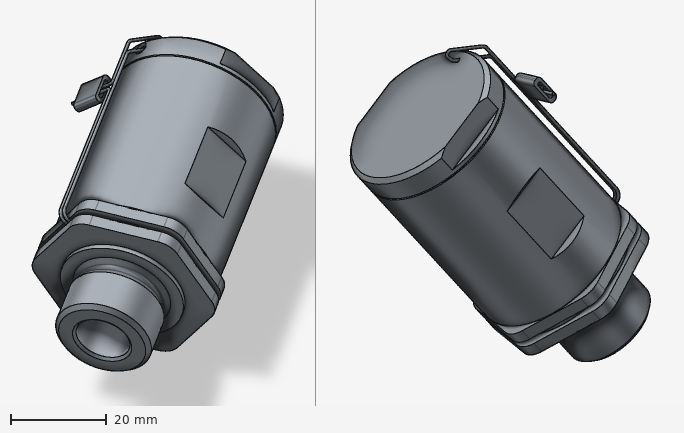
import cadquery as cq
import math


THREAD_LENGTH = 9.9
GROOVE_START_Y = 11.45
GROOVE_BOTTOM_Y = 12.0
GROOVE_END_Y = 12.8
COLLAR_Y = 13.8
LOWER_HEX_Y = 14.9
HEX_THICKNESS = 2.75
WIRE_NECK_LENGTH = 1.5
NECK_Y = LOWER_HEX_Y + HEX_THICKNESS
UPPER_HEX_Y = NECK_Y + WIRE_NECK_LENGTH
BODY_Y = UPPER_HEX_Y + HEX_THICKNESS
CAP_Y = 64.3
CAP_END_Y = 70.3

NOZZLE_RADIUS = 21.0 / 2
NOZZLE_CHAMFER = 1.0
GROOVE_START_RADIUS = 9.6
GROOVE_BOTTOM_RADIUS = 9.4
GROOVE_END_RADIUS = 9.65
FLARE_RADIUS = 10.7
COLLAR_RADIUS = 27.0 / 2
HEX_ACROSS_FLATS = 36.0
HEX_ACROSS_CORNERS = HEX_ACROSS_FLATS / math.cos(math.pi / 6)
HEX_CORNER_FILLET = 5.0
NECK_RADIUS = 33.0 / 2
BORE_DIAMETER = 11.8
BORE_CHAMFER = 0.6

BODY_RADIUS = 36.0 / 2
JOINT_CHAMFER = 0.185
FLATS_ANGLE = 45
BODY_FLATS_WIDTH = 34.0
BODY_FLAT_START_Y = 33.05
BODY_FLAT_END_Y = 49.0
CAP_CHAMFER = 1.0
CAP_FLATS_WIDTH = 31.9
CAP_FLAT_START_Y = 65.4
WIRE_HOLE_DIAMETER = 2.0
WIRE_HOLE_CHAMFER = 0.48
WIRE_HOLE_DEPTH = 3.0
WIRE_HOLE_Y = 67.7
WIRE_PASSAGE_DIAMETER = 0.8
WIRE_PASSAGE_START = 0.55

WIRE_RADIUS = 0.7 / 2
STRAND_RADIUS = 21.0
STRAND_OFFSET = 0.56
RING_CLEARANCE = 0.04
RING_RADIUS = NECK_RADIUS + WIRE_RADIUS + RING_CLEARANCE
RING_Y = NECK_Y + WIRE_RADIUS + RING_CLEARANCE
RING_JOIN_RADIUS = 1.5
RING_BEND_RADIUS = 2.0
CAP_BEND_RADIUS = 1.5
HOLE_STRAND_BEND_Y = 64.1
LOOP_STRAND_BEND_Y = 67.6
LOOP_TIP_RADIUS = 0.9
LOOP_TIP_Y = 75.8
LOOP_BACK_Y = 71.2
LOOP_BACK_OFFSET = 0.15
LOOP_BACK_RADIUS = 1.05

TAG_START = 3.0
TAG_LENGTH = 6.8
TAG_WIDTH = 7.0
TAG_THICKNESS = 2.3
TAG_Y = 54.95
TAG_EDGE_FILLET = 1.0
TAG_SLOT_WIDTH = 4.8
TAG_SLOT_HEIGHT = 1.0
TAG_STRAND_OFFSET = 0.75
TAG_BEND_RADIUS = 0.75
WIRE_TAIL_END = 12.1
WIRE_INNER_END = 9.35

SIN_45 = math.sqrt(0.5)
OUTWARD = cq.Vector(-SIN_45, 0, SIN_45)
SIDEWAYS = cq.Vector(-SIN_45, 0, -SIN_45)
AXIS = cq.Vector(0, 1, 0)


def beside(outward, sideways, y):
    """Point given by its distances along the wire side's outward, sideways and axial directions."""
    return OUTWARD * outward + SIDEWAYS * sideways + AXIS * y


def across_axis(y):
    """Workplane square to the valve axis at station y, with its normal along +Y."""
    return cq.Workplane(cq.Plane(origin=(0, y, 0), xDir=(1, 0, 0), normal=(0, 1, 0)))


def turned(profile):
    """Solid of revolution about the valve axis of a closed profile in X (radius) and Y."""
    return profile.revolve(360, (0, 0, 0), (0, 1, 0))


def hex_flange(y):
    flange = across_axis(y).polygon(6, HEX_ACROSS_CORNERS).extrude(HEX_THICKNESS)
    return flange.edges("|Y").fillet(HEX_CORNER_FILLET)


def chamfer_cone(hole_radius, chamfer, centre, inward):
    """Cutter that breaks the mouth of a hole at 45 degrees, from the mouth's centre inward."""
    return cq.Solid.makeCone(hole_radius + chamfer, hole_radius, chamfer, centre, inward)


def make_connector():
    profile = (
        cq.Workplane("XY")
        .lineTo(NOZZLE_RADIUS - NOZZLE_CHAMFER, 0)
        .lineTo(NOZZLE_RADIUS, NOZZLE_CHAMFER)
        .lineTo(NOZZLE_RADIUS, THREAD_LENGTH)
        .lineTo(GROOVE_START_RADIUS, GROOVE_START_Y)
        .threePointArc((GROOVE_BOTTOM_RADIUS, GROOVE_BOTTOM_Y), (GROOVE_END_RADIUS, GROOVE_END_Y))
        .lineTo(FLARE_RADIUS, COLLAR_Y)
        .lineTo(COLLAR_RADIUS, COLLAR_Y)
        .lineTo(COLLAR_RADIUS, LOWER_HEX_Y)
        .lineTo(NECK_RADIUS, LOWER_HEX_Y)
        .lineTo(NECK_RADIUS, BODY_Y)
        .lineTo(0, BODY_Y)
        .close()
    )
    stem = turned(profile)
    connector = stem.union(hex_flange(LOWER_HEX_Y)).union(hex_flange(UPPER_HEX_Y))
    bore = across_axis(0).circle(BORE_DIAMETER / 2).extrude(BODY_Y)
    bore_mouth = chamfer_cone(BORE_DIAMETER / 2, BORE_CHAMFER, cq.Vector(0, 0, 0), AXIS)
    return connector.cut(bore).cut(cq.Workplane(bore_mouth))


def flat_cutters(profile):
    """Two opposite cutters, each a (distance from axis, y) profile as wide as the body."""
    cutter = cq.Workplane("XY").polyline(profile).close().extrude(BODY_RADIUS, both=True)
    first = cutter.rotate((0, 0, 0), (0, 1, 0), -FLATS_ANGLE)
    return first.union(first.rotate((0, 0, 0), (0, 1, 0), 180))


def make_body():
    body = across_axis(BODY_Y).circle(BODY_RADIUS).extrude(CAP_Y - BODY_Y)
    body = body.faces("<Y or >Y").chamfer(JOINT_CHAMFER)
    flat = BODY_FLATS_WIDTH / 2
    end_slope = BODY_RADIUS - flat
    return body.cut(
        flat_cutters(
            [
                (flat, BODY_FLAT_START_Y),
                (BODY_RADIUS, BODY_FLAT_START_Y - end_slope),
                (BODY_RADIUS, BODY_FLAT_END_Y + end_slope),
                (flat, BODY_FLAT_END_Y),
            ]
        )
    )


def make_cap():
    cap = across_axis(CAP_Y).circle(BODY_RADIUS).extrude(CAP_END_Y - CAP_Y)
    cap = cap.faces(">Y").chamfer(CAP_CHAMFER).faces("<Y").chamfer(JOINT_CHAMFER)
    flat = CAP_FLATS_WIDTH / 2
    cap = cap.cut(
        flat_cutters(
            [
                (flat, CAP_FLAT_START_Y),
                (BODY_RADIUS, CAP_FLAT_START_Y),
                (BODY_RADIUS, CAP_END_Y),
                (flat, CAP_END_Y),
            ]
        )
    )
    return cap.cut(wire_hole()).cut(wire_passage())


def wire_hole():
    """Blind hole with a chamfered mouth, square to the side of the cap."""
    inward = OUTWARD * -1
    mouth = beside(BODY_RADIUS, 0, WIRE_HOLE_Y)
    hole = cq.Solid.makeCylinder(WIRE_HOLE_DIAMETER / 2, WIRE_HOLE_DEPTH, mouth, inward)
    chamfer = chamfer_cone(WIRE_HOLE_DIAMETER / 2, WIRE_HOLE_CHAMFER, mouth, inward)
    return cq.Workplane(hole.fuse(chamfer))


def wire_passage():
    """Slanted passage along the wire, from inside the wire hole to beyond the cap's end face."""
    bend, loop_back = hole_strand_corners()
    start = bend + (loop_back - bend) * WIRE_PASSAGE_START
    run = loop_back - start
    passage = cq.Solid.makeCylinder(WIRE_PASSAGE_DIAMETER / 2, run.Length, start, run)
    return cq.Workplane(passage)


def hole_strand_corners():
    """Corners of the wire where it turns toward the wire hole and where the loop turns back."""
    bend = beside(STRAND_RADIUS, -STRAND_OFFSET, HOLE_STRAND_BEND_Y)
    loop_back_outward = STRAND_RADIUS - (LOOP_BACK_Y - HOLE_STRAND_BEND_Y)
    loop_back = beside(loop_back_outward, -LOOP_BACK_OFFSET, LOOP_BACK_Y)
    return bend, loop_back


def rounded_path(points, radii):
    """Edges of a polyline whose inner corners are rounded with the given bend radii."""
    edges = []
    start = points[0]
    for before, corner, after, radius in zip(points, points[1:], points[2:], radii):
        back = (before - corner).normalized()
        ahead = (after - corner).normalized()
        half_angle = back.getAngle(ahead) / 2
        bisector = (back + ahead).normalized()
        tangent_length = radius / math.tan(half_angle)
        bend_start = corner + back * tangent_length
        bend_end = corner + ahead * tangent_length
        bend_middle = corner + bisector * (radius / math.sin(half_angle) - radius)
        edges.append(cq.Edge.makeLine(start, bend_start))
        edges.append(cq.Edge.makeThreePointArc(bend_start, bend_middle, bend_end))
        start = bend_end
    edges.append(cq.Edge.makeLine(start, points[-1]))
    return edges


def ring_join(side):
    """Start, middle and end of the bend from an inward strand (side +1 or -1) into the ring."""
    centre_side = STRAND_OFFSET + RING_JOIN_RADIUS
    centre_distance = RING_RADIUS + RING_JOIN_RADIUS
    centre_angle = math.asin(centre_side / centre_distance)
    centre_outward = centre_distance * math.cos(centre_angle)
    middle_angle = (math.pi / 2 + centre_angle) / 2
    start = beside(centre_outward, side * STRAND_OFFSET, RING_Y)
    middle = beside(
        centre_outward - RING_JOIN_RADIUS * math.sin(middle_angle),
        side * (centre_side - RING_JOIN_RADIUS * math.cos(middle_angle)),
        RING_Y,
    )
    end = beside(
        RING_RADIUS * math.cos(centre_angle),
        side * RING_RADIUS * math.sin(centre_angle),
        RING_Y,
    )
    return start, middle, end


def make_wire():
    tail_y = TAG_Y - TAG_STRAND_OFFSET
    inner_end_y = TAG_Y + TAG_STRAND_OFFSET
    tag_side_start, tag_side_middle, tag_side_end = ring_join(1)
    far_side_start, far_side_middle, far_side_end = ring_join(-1)

    tail_strand = rounded_path(
        [
            beside(STRAND_RADIUS, WIRE_TAIL_END, tail_y),
            beside(STRAND_RADIUS, STRAND_OFFSET, tail_y),
            beside(STRAND_RADIUS, STRAND_OFFSET, RING_Y),
            tag_side_start,
        ],
        [TAG_BEND_RADIUS, RING_BEND_RADIUS],
    )

    ring = [
        cq.Edge.makeThreePointArc(tag_side_start, tag_side_middle, tag_side_end),
        cq.Edge.makeThreePointArc(tag_side_end, beside(-RING_RADIUS, 0, RING_Y), far_side_end),
        cq.Edge.makeThreePointArc(far_side_end, far_side_middle, far_side_start),
    ]

    loop_tip_outward = STRAND_RADIUS - (LOOP_TIP_Y - LOOP_STRAND_BEND_Y)
    cap_strand = rounded_path(
        [
            far_side_start,
            beside(STRAND_RADIUS, -STRAND_OFFSET, RING_Y),
            *hole_strand_corners(),
            beside(loop_tip_outward, STRAND_OFFSET, LOOP_TIP_Y),
            beside(STRAND_RADIUS, STRAND_OFFSET, LOOP_STRAND_BEND_Y),
            beside(STRAND_RADIUS, STRAND_OFFSET, inner_end_y),
            beside(STRAND_RADIUS, WIRE_INNER_END, inner_end_y),
        ],
        [
            RING_BEND_RADIUS,
            CAP_BEND_RADIUS,
            LOOP_BACK_RADIUS,
            LOOP_TIP_RADIUS,
            CAP_BEND_RADIUS,
            TAG_BEND_RADIUS,
        ],
    )

    path = cq.Wire.assembleEdges(tail_strand + ring + cap_strand)
    section = cq.Plane(
        origin=beside(STRAND_RADIUS, WIRE_TAIL_END, tail_y), xDir=AXIS, normal=SIDEWAYS * -1
    )
    return cq.Workplane(section).circle(WIRE_RADIUS).sweep(cq.Workplane(path))


def make_tag():
    tag_plane = cq.Plane(origin=beside(STRAND_RADIUS, TAG_START, TAG_Y), xDir=AXIS, normal=SIDEWAYS)
    tag = cq.Workplane(tag_plane).rect(TAG_WIDTH, TAG_THICKNESS).extrude(TAG_LENGTH)
    tag = tag.edges(cq.selectors.ParallelDirSelector(SIDEWAYS)).fillet(TAG_EDGE_FILLET)
    slot = cq.Workplane(tag_plane).slot2D(TAG_SLOT_WIDTH, TAG_SLOT_HEIGHT).extrude(TAG_LENGTH)
    return tag.cut(slot)


connector = make_connector()
body = make_body()
cap = make_cap()
wire = make_wire()
tag = make_tag()

result = cq.Compound.makeCompound([connector.val(), body.val(), cap.val(), wire.val(), tag.val()])